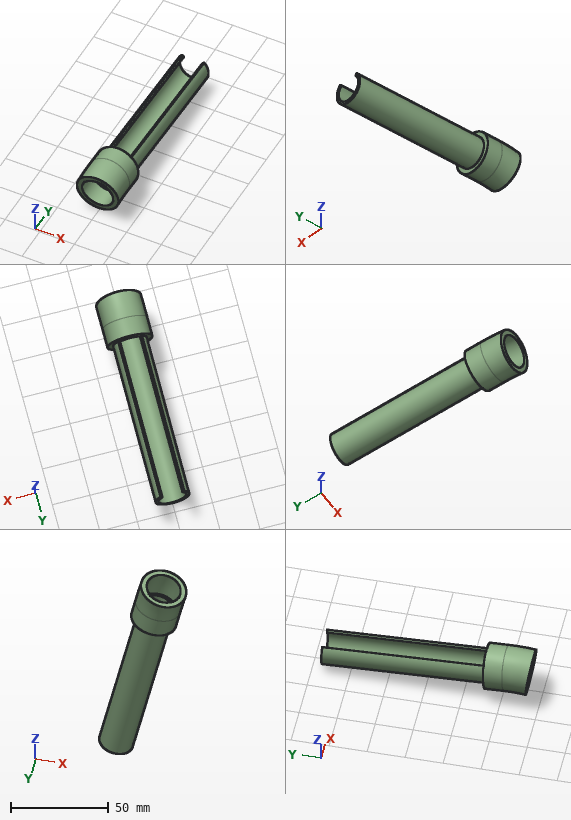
import cadquery as cq
import math

tube_diameter = 18.0
tube_bore = 15.0
slot_angle = 90.0
collar_diameter = 24.0
socket_bore = 18.0
collar_length = 10.0
bend_radius = 73.0
bend_angle = 10.0
tube_tilt = 3.0
overall_length = 109.96

mouth_tilt = math.radians(bend_angle - tube_tilt)
bend_reach = bend_radius * (math.sin(mouth_tilt) + math.sin(math.radians(tube_tilt)))
lip_reach = bend_reach + collar_diameter / 2 * math.sin(mouth_tilt)
tube_end_y = overall_length - lip_reach
raw_tube_length = tube_end_y + tube_diameter


def straight_rod(diameter, length):
    """Cylinder along +Y starting at the origin."""
    return cq.Workplane("XZ").circle(diameter / 2).extrude(-length)


def bent_rod(diameter):
    """Rod running from the origin toward -Y and curving downward."""
    return (
        cq.Workplane("XZ")
        .circle(diameter / 2)
        .revolve(bend_angle, (0, -bend_radius), (1, -bend_radius))
    )


def slot_wedge():
    """Wedge with radial sides that opens the top of the tube behind the collar."""
    height = tube_diameter
    half_width = height * math.tan(math.radians(slot_angle / 2))
    return (
        cq.Workplane("XZ", origin=(0, collar_length, 0))
        .polyline([(0, 0), (half_width, height), (-half_width, height)])
        .close()
        .extrude(-raw_tube_length)
    )


def end_trim():
    """Block beyond the vertical plane that ends the tilted tube."""
    size = 2 * raw_tube_length
    return cq.Workplane("XY").box(size, size, size).translate((0, tube_end_y + size / 2, 0))


slotted_tube = straight_rod(tube_diameter, raw_tube_length).cut(slot_wedge())
body = slotted_tube.union(straight_rod(collar_diameter, collar_length))
body = body.union(bent_rod(collar_diameter))
body = body.cut(straight_rod(tube_bore, raw_tube_length))
body = body.cut(bent_rod(socket_bore))

result = body.rotate((0, 0, 0), (1, 0, 0), -tube_tilt).cut(end_trim())